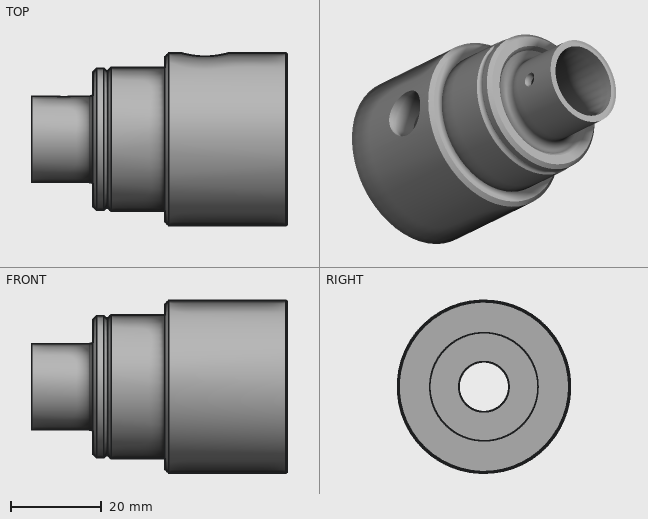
import cadquery as cq

total_length = 56.35
housing_radius = 38.1 / 2

tube_radius = 19.05 / 2
bore_mouth_radius = 16.2 / 2
bore_rear_radius = 11.0 / 2
body_radius = 23.85 / 2
step_fillet = 1.6
vent_diameter = 3.15
vent_x = 7.1

ring_radius = 31.35 / 2
ring_front_x = 13.55
ring_chamfer = 0.85
ring_mouth_radius = 25.4 / 2
mouth_chamfer = ring_mouth_radius - body_radius
step_x = ring_front_x + mouth_chamfer

housing_front_x = 16.75
neck_radius = 31.75 / 2
neck_chamfer = 0.8
shoulder_x = 29.35
shoulder_chamfer = 0.9
rear_chamfer = 0.35
port_diameter = 10.5
port_x = 38.2


def revolve_about_x(profile):
    """Revolve a closed profile of (x, radius) about the X axis."""
    return profile.close().revolve(360, (0, 0, 0), (1, 0, 0))


def side_hole(x, diameter):
    """Radial cutter running from the axis out through the +Y side."""
    cutter = cq.Solid.makeCylinder(diameter / 2, housing_radius, cq.Vector(x, 0, 0), cq.Vector(0, 1, 0))
    return cq.Workplane(cutter)


def make_tube():
    fillet_start_x = step_x - step_fillet
    fillet_centre = (fillet_start_x, tube_radius + step_fillet)
    diagonal = step_fillet * 0.5 ** 0.5
    profile = (
        cq.Workplane("XY")
        .moveTo(0, bore_mouth_radius)
        .lineTo(0, tube_radius)
        .lineTo(fillet_start_x, tube_radius)
        .threePointArc(
            (fillet_centre[0] + diagonal, fillet_centre[1] - diagonal),
            (step_x, fillet_centre[1]),
        )
        .lineTo(step_x, body_radius)
        .lineTo(total_length, body_radius)
        .lineTo(total_length, bore_rear_radius)
    )
    return revolve_about_x(profile).cut(side_hole(vent_x, vent_diameter)).solids()


def make_ring():
    profile = cq.Workplane("XY").polyline([
        (ring_front_x, ring_mouth_radius),
        (ring_front_x, ring_radius - ring_chamfer),
        (ring_front_x + ring_chamfer, ring_radius),
        (housing_front_x - ring_chamfer, ring_radius),
        (housing_front_x, ring_radius - ring_chamfer),
        (housing_front_x, body_radius),
        (step_x, body_radius),
    ])
    return revolve_about_x(profile)


def make_housing():
    profile = cq.Workplane("XY").polyline([
        (housing_front_x, body_radius),
        (housing_front_x, neck_radius - neck_chamfer),
        (housing_front_x + neck_chamfer, neck_radius),
        (shoulder_x, neck_radius),
        (shoulder_x, housing_radius - shoulder_chamfer),
        (shoulder_x + shoulder_chamfer, housing_radius),
        (total_length - rear_chamfer, housing_radius),
        (total_length, housing_radius - rear_chamfer),
        (total_length, body_radius),
    ])
    return revolve_about_x(profile).cut(side_hole(port_x, port_diameter)).solids()


tube = make_tube()
ring = make_ring()
housing = make_housing()

result = cq.Compound.makeCompound([tube.val(), ring.val(), housing.val()])